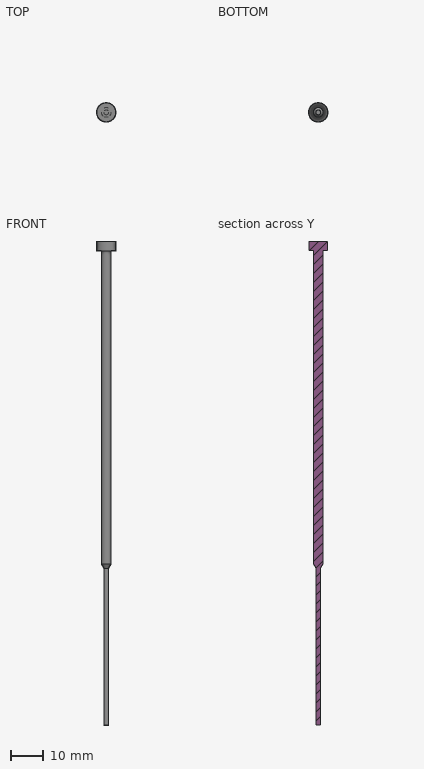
import math

import cadquery as cq

overall_length = 150.0
head_diameter = 6.0
head_height = 3.0
shaft_diameter = 3.0
shaft_end_depth = 100.0
tip_diameter = 1.5
cone_half_angle = 30.0

head_radius = head_diameter / 2
shaft_radius = shaft_diameter / 2
tip_radius = tip_diameter / 2
cone_height = (shaft_radius - tip_radius) / math.tan(math.radians(cone_half_angle))

head_bottom_z = -head_height
shaft_bottom_z = -shaft_end_depth
cone_bottom_z = shaft_bottom_z - cone_height
tip_bottom_z = -overall_length


def make_pin():
    """Revolve the half profile of the pin about the Z axis."""
    half_profile = [
        (0, 0),
        (head_radius, 0),
        (head_radius, head_bottom_z),
        (shaft_radius, head_bottom_z),
        (shaft_radius, shaft_bottom_z),
        (tip_radius, cone_bottom_z),
        (tip_radius, tip_bottom_z),
        (0, tip_bottom_z),
    ]
    profile = cq.Workplane("XZ").polyline(half_profile).close()
    return profile.revolve(360, (0, 0, 0), (0, 1, 0))


result = make_pin()